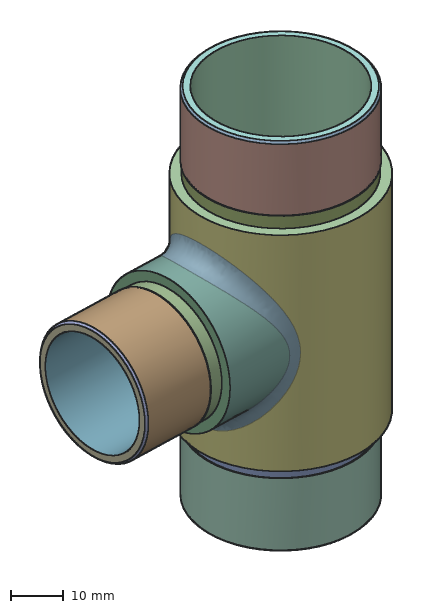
import cadquery as cq

overall_length = 94.0
body_diameter = 42.4
body_length = 54.1
spigot_diameter = 38.3
groove_diameter = 37.9
bore_diameter = 34.4

overall_depth = 71.2
branch_spigot_length = 20.1
branch_body_diameter = 33.7
branch_spigot_diameter = 29.6
branch_groove_diameter = 29.2
branch_bore_diameter = 25.7

groove_width = 3.0
end_chamfer = 0.5
junction_fillet = 3.95

branch_reach = overall_depth - body_diameter / 2
branch_shoulder = branch_reach - branch_spigot_length


def main_cylinder(diameter, length):
    """Cylinder along Z, centred on the origin."""
    return cq.Workplane("XY").circle(diameter / 2).extrude(length / 2, both=True)


def branch_cylinder(diameter, reach):
    """Cylinder from the main axis out along -Y."""
    return cq.Workplane("XZ").circle(diameter / 2).extrude(reach)


def filleted_body():
    """Main and branch bodies with a fillet along the curve where they meet."""
    body = main_cylinder(body_diameter, body_length).union(
        branch_cylinder(branch_body_diameter, branch_shoulder)
    )
    junction_box = cq.selectors.BoxSelector(
        (-body_diameter / 2, -body_diameter / 2, -branch_body_diameter / 2),
        (body_diameter / 2, 0, branch_body_diameter / 2),
    )
    return body.edges(junction_box).fillet(junction_fillet)


def main_spigots():
    """Chamfered spigots at both tube ends, with a shallow groove beside the body."""
    grooved_length = body_length + 2 * groove_width
    spigots = main_cylinder(spigot_diameter, overall_length).faces("|Z").chamfer(end_chamfer)
    spigots = spigots.cut(main_cylinder(spigot_diameter, grooved_length))
    return main_cylinder(groove_diameter, grooved_length).union(spigots)


def branch_spigot():
    """Chamfered spigot at the branch end, with a shallow groove beside the branch body."""
    grooved_reach = branch_shoulder + groove_width
    spigot = branch_cylinder(branch_spigot_diameter, branch_reach).faces("<Y").chamfer(end_chamfer)
    spigot = spigot.cut(branch_cylinder(branch_spigot_diameter, grooved_reach))
    return branch_cylinder(branch_groove_diameter, grooved_reach).union(spigot)


tee = filleted_body().union(main_spigots()).union(branch_spigot())

tee = tee.cut(main_cylinder(bore_diameter, overall_length))
result = tee.cut(branch_cylinder(branch_bore_diameter, branch_reach))